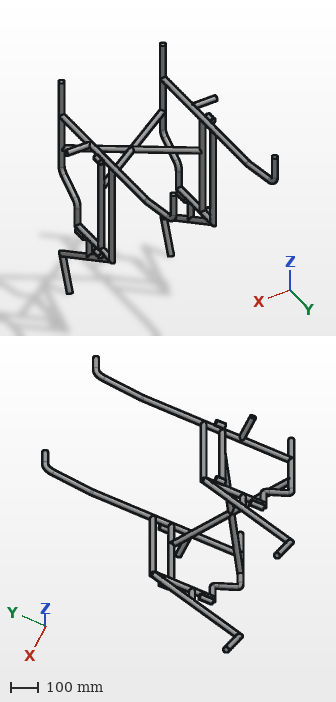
import cadquery as cq
import math


bar_diameter = 22.0
bar_radius = bar_diameter / 2
bend_radius = 38.0

overall_width = 635.0
overall_depth = 809.0
overall_height = 934.0
frame_spacing = 431.0
frame_x = frame_spacing / 2

top_z = 584.0
upper_rail_z = 430.0
brace_z = 279.0
upright_corner_z = 178.5

handle_y = overall_depth - bar_diameter
handle_slope_y = 601.0
rear_post_y = 353.0
mid_post_y = 278.0
peg_y = 203.0
strut_y = 195.0
front_post_y = 112.0

handle_slope = 10.0
upright_slope = 34.5
leg_slope = 30.0
foot_tilt = 20.0

leg_reach = 349.0

sleeve_diameter = 22.0
sleeve_bore = 19.0
sleeve_offset = (bar_diameter + sleeve_diameter) / 2
hinge_length = 36.0
socket_length = 52.0


def rise(run, slope):
    """Height gained over a horizontal run at a slope in degrees."""
    return run * math.tan(math.radians(slope))


post_corner_z = upright_corner_z - rise(front_post_y, upright_slope)
post_joint_z = post_corner_z / 2


def straight_bar(start, end):
    """Round bar with square ends between two points on its axis."""
    start = cq.Vector(*start)
    axis = cq.Vector(*end) - start
    return cq.Workplane(obj=cq.Solid.makeCylinder(bar_radius, axis.Length, start, axis))


def bent_bar(x, points, bend=0):
    """Round bar along (y, z) corner points, with rounded bends or, without a bend radius, mitred corners."""
    nodes = [cq.Vector(x, y, z) for y, z in points]
    path = cq.Wire.makePolygon(nodes)
    if bend:
        path = path.fillet(bend, path.Vertices()[1:-1])
    profile = cq.Plane(origin=nodes[0], xDir=(1, 0, 0), normal=nodes[1] - nodes[0])
    corner = "round" if bend else "right"
    return cq.Workplane(profile).circle(bar_radius).sweep(path, transition=corner)


def make_handle_rail(x):
    """Upper rail that slopes up at the rear and turns up into a handle."""
    handle_corner_z = upper_rail_z + rise(handle_y - handle_slope_y, handle_slope)
    points = [
        (0, upper_rail_z),
        (handle_slope_y, upper_rail_z),
        (handle_y, handle_corner_z),
        (handle_y, top_z),
    ]
    return bent_bar(x, points, bend_radius)


def make_upright(x):
    """Upright with an S-bend back to the front post."""
    points = [
        (0, top_z),
        (0, upright_corner_z),
        (front_post_y, post_corner_z),
        (front_post_y, post_joint_z),
    ]
    return bent_bar(x, points, bend_radius)


def make_lower_bar(x):
    """Front post, lower rail and rear post with mitred corners."""
    points = [
        (front_post_y, post_joint_z),
        (front_post_y, 0),
        (rear_post_y, 0),
        (rear_post_y, upper_rail_z),
    ]
    return bent_bar(x, points)


def leg_z(y):
    """Height of the leg axis, which slopes down toward the front from the rear post."""
    return -rise(rear_post_y - y, leg_slope)


def make_leg(x):
    """Sloping leg with a mitred foot that tilts back to the rear."""
    knee_y = rear_post_y - leg_reach
    knee_z = leg_z(knee_y)
    tilt = math.radians(foot_tilt)
    foot_end_z = top_z - overall_height + bar_radius * math.sin(tilt)
    foot_end = (knee_y + (knee_z - foot_end_z) * math.tan(tilt), foot_end_z)
    return bent_bar(x, [(rear_post_y, 0), (knee_y, knee_z), foot_end])


def make_side_frame(side):
    """One side of the frame; side is -1 or 1."""
    x = side * frame_x
    mid_post = straight_bar((x, mid_post_y, 0), (x, mid_post_y, upper_rail_z))
    strut = straight_bar((x, strut_y, 0), (x, strut_y, leg_z(strut_y)))
    peg = straight_bar((x, peg_y, upper_rail_z), (side * overall_width / 2, peg_y, upper_rail_z))
    return (
        make_handle_rail(x)
        .union(make_upright(x))
        .union(make_lower_bar(x))
        .union(make_leg(x))
        .union(mid_post)
        .union(strut)
        .union(peg)
    )


def make_brace(side):
    """Diagonal from one upright to the mid post of the opposite side."""
    return straight_bar((side * frame_x, 0, brace_z), (-side * frame_x, mid_post_y, brace_z))


def make_frame():
    """Both side frames joined by two crossing braces."""
    frame = make_side_frame(-1).union(make_side_frame(1))
    for side in (-1, 1):
        frame = frame.union(make_brace(side))
    return frame.solids()


def make_sleeve(x, front_y, z, length):
    """Short tube along Y."""
    plane = cq.Plane(origin=(x, front_y, z), xDir=(1, 0, 0), normal=(0, 1, 0))
    return cq.Workplane(plane).circle(sleeve_diameter / 2).circle(sleeve_bore / 2).extrude(length)


def make_hinge_sleeve(side, z):
    """Sleeve on the outer side of a rail, starting at the mid post."""
    return make_sleeve(side * (frame_x + sleeve_offset), mid_post_y, z, hinge_length)


def make_socket_sleeve(side):
    """Sleeve under the lower rail, starting at the front post."""
    return make_sleeve(side * frame_x, front_post_y, -sleeve_offset, socket_length)


frame = make_frame()
hinge_sleeves = [make_hinge_sleeve(side, z) for side in (-1, 1) for z in (0, upper_rail_z)]
socket_sleeves = [make_socket_sleeve(side) for side in (-1, 1)]

sleeves = hinge_sleeves + socket_sleeves
result = cq.Compound.makeCompound([frame.val(), *[sleeve.val() for sleeve in sleeves]])